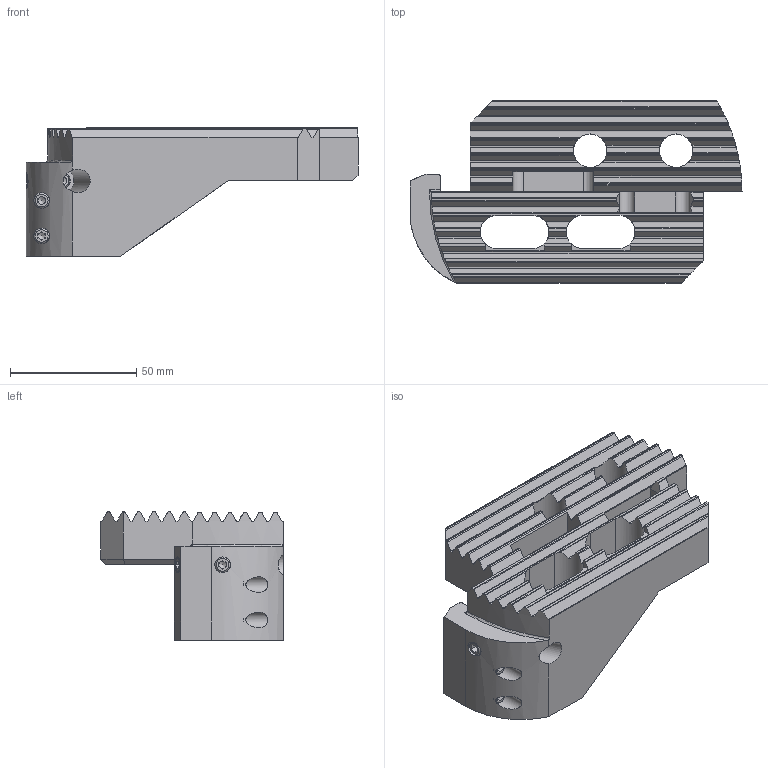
import cadquery as cq
import math


total_length = 131.24
jaw_depth = 36.0
mating_y = jaw_depth
rear_y = 2 * jaw_depth
slab_bottom_z = 30.0
front_top_z = 50.4
rear_top_z = 50.75
grip_radius = 70.0
corner_cut = 8.8

tooth_pitch = 6.0
teeth_per_jaw = 6
valley_z = 47.0
valley_flat = 0.75
flank_angle = 60.0
front_tip_fillet = 0.3
rear_tip_fillet = 0.5

front_left_x = 8.5
front_right_x = 116.0
foot_end_x = 37.4
slope_end_x = 80.0

lug_top_z = 37.15
lug_radius = 30.9
lug_arc_start_y = 28.2
hook_width = 12.0
hook_top_y = 43.0
hook_bevel_length = 6.3
hook_bevel_angle = 22.5
hook_corner_radius = 1.0
lug_fillet = 0.8

rear_left_x = 23.8
rear_bottom_chamfer = 2.0

bolt_width = 13.2
bolt_spacing = 34.0
slot_travel = 14.0
slot_center_x = 41.35
slot_y = 20.2
rear_bolt_x = 71.2
rear_bolt_y = 52.3
relief_length = 23.3
relief_min_y = 12.0
relief_floor_z = 47.6

pocket_depth = 8.0
rear_pocket_left_x = 40.7
rear_pocket_length = 32.0
rear_pocket_floor_z = 33.0
rear_pocket_fillet = 4.0
front_pocket_left_x = 82.8
front_pocket_length = 28.0
front_pocket_floor_z = 36.0
front_groove_radius = 3.0
flare_start_z = 46.0
flare_angle = 14.0

screw_diameter = 6.2
screw_end_chamfer = 0.6
socket_across_flats = 3.0
socket_depth = 3.0
socket_tip_depth = 0.9
cup_diameter = 3.0
upper_screw_z = 29.8
lower_screw_zs = (8.0, 22.0)
lower_screw_x = 6.2
lower_screw_face_y = 15.0
lower_screw_length = 16.0
side_screw_y = 23.9
side_screw_face_x = 0.5
side_screw_length = 5.0
slant_screw_y = 41.7
slant_screw_length = 30.0
access_diameter = 9.25
bore_run_out = 20.0

cut_height = 2 * rear_top_z


def arc_sag(radius, rise):
    """Distance an arc falls back from its tangent after the given rise."""
    return radius - math.sqrt(radius**2 - rise**2)


def plan_solid(outline, bottom_z, top_z):
    """Extrude a closed XY outline between two heights."""
    return outline.extrude(top_z - bottom_z).translate((0, 0, bottom_z))


def box_between(x0, x1, y0, y1, z0, z1):
    return cq.Workplane("XY").box(x1 - x0, y1 - y0, z1 - z0, centered=False).translate((x0, y0, z0))


def serrated_bar(start_y, bottom_z, peak_z, tip_fillet):
    """Full-length bar with a row of V teeth along X on its top."""
    run = (peak_z - valley_z) / math.tan(math.radians(flank_angle))
    profile = cq.Workplane("YZ").moveTo(start_y, bottom_z).lineTo(start_y, valley_z)
    for tooth in range(teeth_per_jaw):
        left_foot = start_y + tooth * tooth_pitch + valley_flat / 2
        right_foot = start_y + (tooth + 1) * tooth_pitch - valley_flat / 2
        profile = (
            profile.lineTo(left_foot, valley_z)
            .lineTo(left_foot + run, peak_z)
            .lineTo(right_foot - run, peak_z)
            .lineTo(right_foot, valley_z)
        )
    end_y = start_y + teeth_per_jaw * tooth_pitch
    profile = profile.lineTo(end_y, valley_z).lineTo(end_y, bottom_z).close()
    return profile.extrude(total_length).edges("|X and >Z").fillet(tip_fillet)


class ScrewSeat:
    """Centre of the socket end, direction into the part, and screw length."""

    def __init__(self, face, direction, length):
        self.plane = cq.Plane(origin=face, normal=direction)
        self.length = length


slant_sin = math.sin(math.radians(hook_bevel_angle))
slant_cos = math.cos(math.radians(hook_bevel_angle))
hook_bevel_drop = hook_bevel_length * math.tan(math.radians(hook_bevel_angle))
hook_bevel_start_y = hook_top_y - hook_bevel_drop
slant_screw_x = (slant_screw_y - hook_bevel_start_y) / math.tan(math.radians(hook_bevel_angle))

slant_seat = ScrewSeat(
    (slant_screw_x, slant_screw_y, upper_screw_z), (slant_sin, -slant_cos, 0), slant_screw_length
)
side_seat = ScrewSeat((side_screw_face_x, side_screw_y, upper_screw_z), (1, 0, 0), side_screw_length)
lower_seats = [
    ScrewSeat((lower_screw_x, lower_screw_face_y, z), (0, 1, 0), lower_screw_length)
    for z in lower_screw_zs
]
screw_seats = [slant_seat, side_seat, *lower_seats]


def set_screw(seat):
    """Headless screw: hex socket at the outer end, cup point at the inner end."""
    body = cq.Workplane(seat.plane).circle(screw_diameter / 2).extrude(seat.length)
    body = body.faces("%PLANE").edges().chamfer(screw_end_chamfer)
    socket_corners = socket_across_flats / math.cos(math.pi / 6)
    socket = cq.Workplane(seat.plane).polygon(6, socket_corners).extrude(socket_depth)
    axis = seat.plane.zDir
    socket_floor = seat.plane.origin + axis * socket_depth
    socket_tip = cq.Solid.makeCone(socket_across_flats / 2, 0, socket_tip_depth, socket_floor, axis)
    cup_radius = cup_diameter / 2
    cup_depth = cup_radius / 2
    cup = cq.Solid.makeCone(
        cup_radius, 0, cup_depth, seat.plane.origin + axis * seat.length, axis * -1
    )
    return body.cut(socket).cut(cq.Workplane(socket_tip)).cut(cq.Workplane(cup))


def screw_bore(seat):
    """Hole filled by the screw and left open in front of its socket."""
    bore = cq.Workplane(seat.plane).workplane(offset=-bore_run_out).circle(screw_diameter / 2)
    return bore.extrude(bore_run_out + seat.length)


def access_bore():
    """Wider bore from the front to the inner end of the slanted screw."""
    start = cq.Workplane(slant_seat.plane).workplane(offset=slant_seat.length)
    return start.circle(access_diameter / 2).extrude(bore_run_out)


def front_grip_outline():
    """Plan of the serrated part: rounded left end, bevelled right corner."""
    half_rise = jaw_depth / 2
    return (
        cq.Workplane("XY")
        .moveTo(front_left_x, mating_y)
        .threePointArc(
            (front_left_x + arc_sag(grip_radius, half_rise), mating_y - half_rise),
            (front_left_x + arc_sag(grip_radius, jaw_depth), 0),
        )
        .lineTo(front_right_x - corner_cut, 0)
        .lineTo(front_right_x, corner_cut)
        .lineTo(front_right_x, mating_y)
        .close()
    )


def lug_solid():
    """Rounded lug with a hook that reaches past the mating plane."""
    half_rise = lug_arc_start_y / 2
    arc_end_x = arc_sag(lug_radius, lug_arc_start_y)
    outline = (
        cq.Workplane("XY")
        .moveTo(0, hook_bevel_start_y)
        .lineTo(0, lug_arc_start_y)
        .threePointArc((arc_sag(lug_radius, half_rise), half_rise), (arc_end_x, 0))
        .lineTo(foot_end_x, 0)
        .lineTo(foot_end_x, mating_y)
        .lineTo(hook_width, mating_y)
        .lineTo(hook_width, hook_top_y)
        .lineTo(hook_bevel_length, hook_top_y)
        .close()
    )
    lug = plan_solid(outline, 0, rear_top_z)
    hook_corner = cq.selectors.NearestToPointSelector((hook_width, hook_top_y, rear_top_z / 2))
    return lug.edges(hook_corner).fillet(hook_corner_radius)


def fillet_profile(plane, corner_x, direction):
    """Concave corner filler on the lug top, with its far side inside the jaw."""
    bulge = lug_fillet * (1 - math.sqrt(0.5))
    return (
        cq.Workplane(plane)
        .moveTo(corner_x + direction * lug_fillet, lug_top_z)
        .threePointArc(
            (corner_x + direction * bulge, lug_top_z + bulge),
            (corner_x, lug_top_z + lug_fillet),
        )
        .lineTo(corner_x - direction * lug_fillet, lug_top_z + lug_fillet)
        .lineTo(corner_x - direction * lug_fillet, lug_top_z)
        .close()
    )


def lug_fillets(lug_column):
    """Fillets where the grip walls rise from the lug top, kept within the lug plan."""
    axis_x = front_left_x + grip_radius
    curved_plane = cq.Plane(origin=(0, mating_y, 0), xDir=(1, 0, 0), normal=(0, -1, 0))
    curved = fillet_profile(curved_plane, front_left_x, -1).revolve(
        90, (axis_x, 0, 0), (axis_x, 1, 0)
    )
    rear_wall = fillet_profile("YZ", mating_y, 1).extrude(hook_width)
    straight = rear_wall.intersect(
        box_between(front_left_x, hook_width, 0, rear_y, 0, rear_top_z)
    )
    left_run_out = fillet_profile(curved_plane, front_left_x, -1).extrude(-lug_fillet)
    corner = rear_wall.intersect(left_run_out)
    return curved.union(straight).union(corner).intersect(lug_column)


def bolt_slot(center_x):
    slot = cq.Workplane("XY").center(center_x, slot_y).slot2D(slot_travel + bolt_width, bolt_width)
    return slot.extrude(cut_height)


def slot_relief(center_x):
    """Removes the thin remains of the tooth along the front edge of a slot."""
    half = relief_length / 2
    return box_between(
        center_x - half, center_x + half, relief_min_y, slot_y, relief_floor_z, cut_height
    )


def front_pocket():
    """Pocket with flared ends at the teeth and a round groove along each end of its floor."""
    left = front_pocket_left_x
    right = left + front_pocket_length
    groove = 2 * front_groove_radius
    flare = (rear_top_z - flare_start_z) * math.tan(math.radians(flare_angle))
    groove_bottom_z = front_pocket_floor_z - front_groove_radius
    profile = (
        cq.Workplane("XZ", origin=(0, mating_y, 0))
        .moveTo(left - flare, rear_top_z)
        .lineTo(left, flare_start_z)
        .lineTo(left, front_pocket_floor_z)
        .threePointArc(
            (left + front_groove_radius, groove_bottom_z), (left + groove, front_pocket_floor_z)
        )
        .lineTo(right - groove, front_pocket_floor_z)
        .threePointArc(
            (right - front_groove_radius, groove_bottom_z), (right, front_pocket_floor_z)
        )
        .lineTo(right, flare_start_z)
        .lineTo(right + flare, rear_top_z)
        .close()
    )
    return profile.extrude(pocket_depth)


def under_slope():
    """Space below the sloping underside and the slab."""
    return (
        cq.Workplane("XZ")
        .moveTo(foot_end_x, 0)
        .lineTo(slope_end_x, slab_bottom_z)
        .lineTo(total_length, slab_bottom_z)
        .lineTo(total_length, 0)
        .close()
        .extrude(-rear_y)
    )


def make_front_jaw():
    grip_column = plan_solid(front_grip_outline(), 0, rear_top_z)
    jaw = serrated_bar(0, 0, front_top_z, front_tip_fillet).intersect(grip_column)
    lug_column = lug_solid()
    lug_space = box_between(0, foot_end_x, 0, rear_y, 0, lug_top_z)
    jaw = jaw.union(lug_column.intersect(lug_space))
    jaw = jaw.union(lug_fillets(lug_column))
    jaw = jaw.cut(under_slope())
    for index in range(2):
        center_x = slot_center_x + index * bolt_spacing
        jaw = jaw.cut(bolt_slot(center_x)).cut(slot_relief(center_x))
    jaw = jaw.cut(front_pocket())
    for seat in screw_seats:
        jaw = jaw.cut(screw_bore(seat))
    return jaw.cut(access_bore())


def rear_outline():
    """Plan of the rear jaw: bevelled left corner, rounded right end."""
    half_rise = jaw_depth / 2
    return (
        cq.Workplane("XY")
        .moveTo(rear_left_x, mating_y)
        .lineTo(rear_left_x, rear_y - corner_cut)
        .lineTo(rear_left_x + corner_cut, rear_y)
        .lineTo(total_length - arc_sag(grip_radius, jaw_depth), rear_y)
        .threePointArc(
            (total_length - arc_sag(grip_radius, half_rise), mating_y + half_rise),
            (total_length, mating_y),
        )
        .close()
    )


def rear_pocket():
    """Pocket in the mating face with rounded ends to its floor."""
    right = rear_pocket_left_x + rear_pocket_length
    pocket = box_between(
        rear_pocket_left_x, right, mating_y, mating_y + pocket_depth, rear_pocket_floor_z, cut_height
    )
    return pocket.edges("|Y and <Z").fillet(rear_pocket_fillet)


def make_rear_jaw():
    column = plan_solid(rear_outline(), slab_bottom_z, rear_top_z)
    outer_bottom = column.faces("<Z").edges().filter(lambda edge: edge.Center().y > mating_y)
    column = outer_bottom.chamfer(rear_bottom_chamfer)
    jaw = serrated_bar(mating_y, slab_bottom_z, rear_top_z, rear_tip_fillet).intersect(column)
    for index in range(2):
        bolt_x = rear_bolt_x + index * bolt_spacing
        hole = cq.Workplane("XY").center(bolt_x, rear_bolt_y).circle(bolt_width / 2)
        jaw = jaw.cut(hole.extrude(cut_height))
    return jaw.cut(rear_pocket())


front_jaw = make_front_jaw()
rear_jaw = make_rear_jaw()
set_screws = [set_screw(seat) for seat in screw_seats]

result = cq.Compound.makeCompound(
    [front_jaw.val(), rear_jaw.val(), *[screw.val() for screw in set_screws]]
)